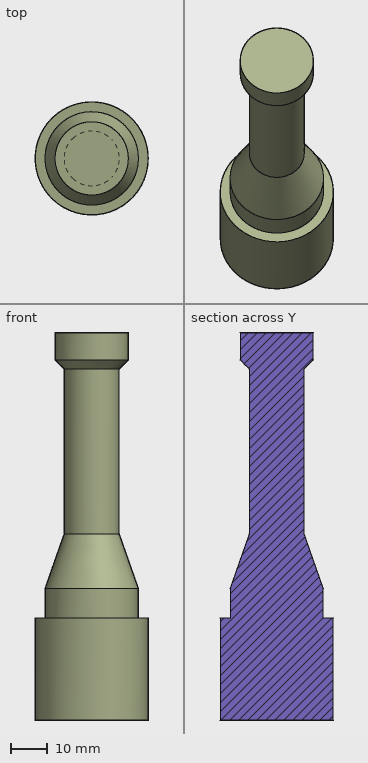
import cadquery as cq

base_diameter = 31.0
shoulder_diameter = 25.5
stem_diameter = 15.0
head_diameter = 20.0

total_height = 106.0
base_top = 28.0
shoulder_top = 36.0
taper_top = 51.0
head_rim_height = 7.5

head_flare_height = (head_diameter - stem_diameter) / 2
head_rim_bottom = total_height - head_rim_height
stem_top = head_rim_bottom - head_flare_height

base_radius = base_diameter / 2
shoulder_radius = shoulder_diameter / 2
stem_radius = stem_diameter / 2
head_radius = head_diameter / 2

half_section = (
    cq.Workplane("XZ")
    .moveTo(0, 0)
    .lineTo(base_radius, 0)
    .lineTo(base_radius, base_top)
    .lineTo(shoulder_radius, base_top)
    .lineTo(shoulder_radius, shoulder_top)
    .lineTo(stem_radius, taper_top)
    .lineTo(stem_radius, stem_top)
    .lineTo(head_radius, head_rim_bottom)
    .lineTo(head_radius, total_height)
    .lineTo(0, total_height)
    .close()
)

result = half_section.revolve(360, (0, 0, 0), (0, 1, 0))